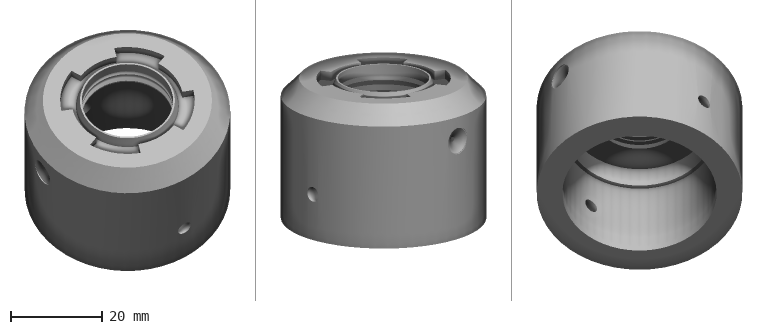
import cadquery as cq
import math

outer_radius = 22.5
height = 32.0
chamfer_size = 4.0

recess_depth = 2.05
recess_radius = 12.25
notch_radius = 14.7
notch_count = 4
notch_angle = 45.0

bore_radius = 10.0
collar_top_radius = 10.4
collar_base_radius = 11.25

groove_radius = 11.0
groove_tops = (2.5, 3.95)
lip_tops = (3.6, 5.95)
lip_height = 0.35

upper_cavity_radius = 15.98
cavity_radius = 16.88
cavity_step_depth = 11.7

pin_hole_radius = 1.65
pin_hole_z = 10.5
dimple_z = 22.5
dimple_radius = 3.0
dimple_cone_radius = 2.9
dimple_tip_radius = 0.55
dimple_depth = 1.75
dimple_rim_depth = 0.22


def cylinder(radius, bottom, top):
    return cq.Workplane("XY").workplane(offset=bottom).circle(radius).extrude(top - bottom)


def revolve_about_z(points):
    """Revolve a closed (radius, z) outline about the Z axis."""
    return cq.Workplane("XZ").polyline(points).close().revolve(360, (0, 0), (0, 1))


def notch_sector(center_angle):
    """Sector-shaped notch with radial sides, reaching the recess floor."""
    def rim_point(angle):
        a = math.radians(angle)
        return (notch_radius * math.cos(a), notch_radius * math.sin(a))

    return (
        cq.Workplane("XY").workplane(offset=height - recess_depth)
        .lineTo(*rim_point(center_angle - notch_angle / 2))
        .threePointArc(rim_point(center_angle), rim_point(center_angle + notch_angle / 2))
        .close().extrude(recess_depth)
    )


def bayonet_recess():
    """Round recess with notches, leaving the tapered collar standing."""
    floor = height - recess_depth
    recess = cylinder(recess_radius, floor, height)
    for i in range(notch_count):
        recess = recess.union(notch_sector((i + 0.5) * 360 / notch_count))
    collar = revolve_about_z([
        (0, floor), (collar_base_radius, floor), (collar_top_radius, height), (0, height),
    ])
    return recess.cut(collar)


def bore_and_cavity():
    """Grooved bore above the stepped cavity."""
    roof = height - lip_tops[-1] - lip_height
    step = height - cavity_step_depth
    cut = cylinder(bore_radius, 0, height)
    cut = cut.union(cylinder(upper_cavity_radius, step, roof))
    cut = cut.union(cylinder(cavity_radius, 0, step))
    for groove_top, lip_top in zip(groove_tops, lip_tops):
        cone_drop = groove_radius - bore_radius
        cut = cut.union(revolve_about_z([
            (0, height - groove_top),
            (groove_radius, height - groove_top),
            (groove_radius, height - lip_top + cone_drop),
            (bore_radius, height - lip_top),
            (0, height - lip_top),
        ]))
    return cut


def dimple():
    """Conical flat-tipped dimple in the -Y side."""
    profile = [
        (0, -outer_radius),
        (dimple_radius, -outer_radius),
        (dimple_radius, -outer_radius + dimple_rim_depth),
        (dimple_cone_radius, -outer_radius + dimple_rim_depth),
        (dimple_tip_radius, -outer_radius + dimple_depth),
        (0, -outer_radius + dimple_depth),
    ]
    return (
        cq.Workplane("XY").workplane(offset=dimple_z)
        .polyline(profile).close().revolve(360, (0, 0), (0, 1))
    )


pin_hole = (
    cq.Workplane("YZ").center(0, pin_hole_z).circle(pin_hole_radius)
    .extrude(outer_radius, both=True)
)

body = cylinder(outer_radius, 0, height).faces(">Z").chamfer(chamfer_size)
result = body.cut(bayonet_recess()).cut(bore_and_cavity()).cut(pin_hole).cut(dimple())